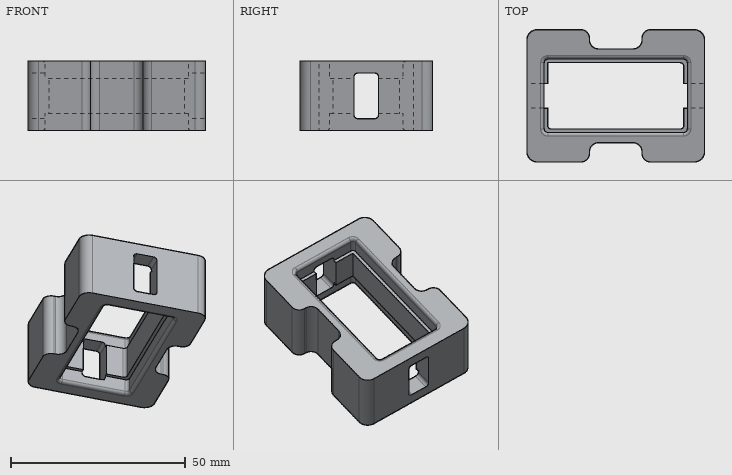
import cadquery as cq

length = 51.0
width = 38.0
height = 20.0
corner_radius = 3.0

notch_depth = 5.5
notch_width = 15.0
notch_radius = 2.5

recess_length = 41.0
recess_width = 21.0
recess_depth = 5.0
lip_depth = 1.0
opening_corner_radius = 1.0
rim_radius = 1.0

window_width = 7.0
window_height = 13.0
window_corner_radius = 1.0


def rounded_prism(size_x, size_y, size_z, radius):
    """Centred block with rounded vertical edges."""
    return cq.Workplane("XY").box(size_x, size_y, size_z).edges("|Z").fillet(radius)


def notch_outline(side):
    """Closed notch outline on the +Y (side=1) or -Y (side=-1) wall, blended by arcs."""
    edge_y = side * width / 2
    floor_y = edge_y - side * notch_depth
    half_width = notch_width / 2
    mouth = half_width + notch_radius
    floor_half = half_width - notch_radius
    upper_y = edge_y - side * notch_radius
    lower_y = floor_y + side * notch_radius
    sweep_radius = side * notch_radius
    return (
        cq.Workplane("XY", origin=(0, 0, -height / 2))
        .moveTo(-mouth, edge_y)
        .radiusArc((-half_width, upper_y), sweep_radius)
        .lineTo(-half_width, lower_y)
        .radiusArc((-floor_half, floor_y), -sweep_radius)
        .lineTo(floor_half, floor_y)
        .radiusArc((half_width, lower_y), -sweep_radius)
        .lineTo(half_width, upper_y)
        .radiusArc((mouth, edge_y), sweep_radius)
        .close()
    )


body = rounded_prism(length, width, height, corner_radius)
for side in (1, -1):
    body = body.cut(notch_outline(side).extrude(height))

lip_opening = (
    cq.Workplane("XY")
    .box(recess_length - 2 * lip_depth, recess_width - 2 * lip_depth, height)
    .edges("|Z and (>X or <Y)")
    .fillet(opening_corner_radius)
)
body = body.cut(lip_opening)

recess = rounded_prism(recess_length, recess_width, recess_depth, opening_corner_radius)
recess_offset = (height - recess_depth) / 2
for side in (1, -1):
    body = body.cut(recess.translate((0, 0, side * recess_offset)))

rim_box = cq.selectors.BoxSelector(
    (-recess_length / 2 - rim_radius, -recess_width / 2 - rim_radius, -height),
    (recess_length / 2 + rim_radius, recess_width / 2 + rim_radius, height),
)
body = body.faces("<Z or >Z").edges(rim_box).fillet(rim_radius)

window = (
    cq.Workplane("XY")
    .box(length, window_width, window_height)
    .edges("|X")
    .fillet(window_corner_radius)
)
result = body.cut(window)